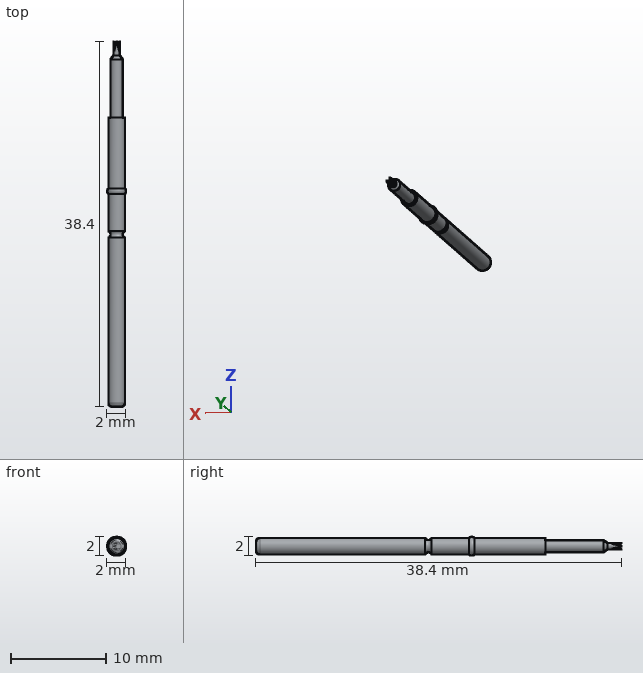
import cadquery as cq
import math

length = 38.4
body_radius = 0.9
shaft_radius = 0.65
tip_radius = 0.35
collar_radius = 1.0
tail_rounding = 0.42

cone_start = length - 1.45
cone_end = length - 1.9
shaft_end = length - 8.0
collar_front = length - 15.45
collar_back = length - 16.0
groove_front = length - 19.93
groove_back = length - 20.62
groove_depth = 0.23

flute_count = 4
flute_length = 0.92
flute_root_radius = 0.05
dimple_depth = 0.25
overrun = 0.4


def make_turned_body():
    """Revolve the half profile, drawn as (radius, Y), about the Y axis."""
    tail_flat_radius = body_radius - tail_rounding
    tail_arc_mid = (
        tail_flat_radius + tail_rounding * math.sin(math.radians(45)),
        tail_rounding * (1 - math.cos(math.radians(45))),
    )
    groove_bottom = (body_radius - groove_depth, (groove_back + groove_front) / 2)
    collar_crest = (collar_radius, (collar_back + collar_front) / 2)
    profile = (
        cq.Workplane("XY")
        .lineTo(tail_flat_radius, 0)
        .threePointArc(tail_arc_mid, (body_radius, tail_rounding))
        .lineTo(body_radius, groove_back)
        .threePointArc(groove_bottom, (body_radius, groove_front))
        .lineTo(body_radius, collar_back)
        .threePointArc(collar_crest, (body_radius, collar_front))
        .lineTo(body_radius, shaft_end)
        .lineTo(shaft_radius, shaft_end)
        .lineTo(shaft_radius, cone_end)
        .lineTo(tip_radius, cone_start)
        .lineTo(tip_radius, length)
        .lineTo(0, length)
        .close()
    )
    return profile.revolve(360, (0, 0, 0), (0, 1, 0))


def make_flute():
    """90-degree V cutter above the tip, its root sloping down to the end face."""
    root_slope = (tip_radius - flute_root_radius) / flute_length
    root_start = tip_radius + root_slope * overrun
    root_end = flute_root_radius - root_slope * overrun
    start_y = length - flute_length - overrun
    end_y = length + overrun
    opening = 2 * tip_radius

    def v_section(y, root):
        return cq.Wire.makePolygon(
            [
                cq.Vector(0, y, root),
                cq.Vector(opening, y, root + opening),
                cq.Vector(-opening, y, root + opening),
            ],
            close=True,
        )

    return cq.Solid.makeLoft([v_section(start_y, root_start), v_section(end_y, root_end)], True)


def make_dimple():
    """Cone opening to the full tip radius at the end face."""
    return cq.Solid.makeCone(
        0, tip_radius, dimple_depth, cq.Vector(0, length - dimple_depth, 0), cq.Vector(0, 1, 0)
    )


result = make_turned_body().cut(cq.Workplane(make_dimple()))

flute_pitch = 360 / flute_count
for index in range(flute_count):
    angle = flute_pitch * (index + 0.5)
    result = result.cut(cq.Workplane(make_flute()).rotate((0, 0, 0), (0, 1, 0), angle))